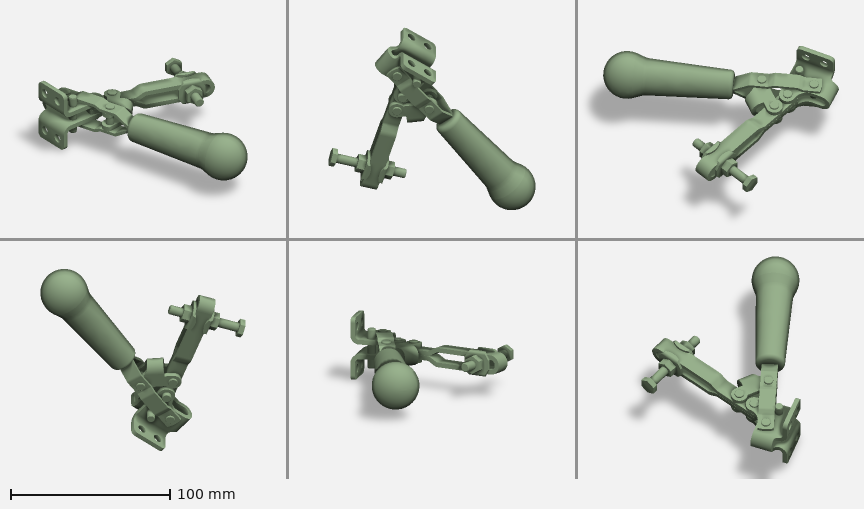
import cadquery as cq
import math


overall_length = 141.0
overall_depth = 105.2

sheet = 3.0
arm_gap = 0.07
fork_inner = 3.2
fork_outer = fork_inner + sheet

base_handle_pivot = (13.3, 16.6)
base_arm_pivot = (26.0, 29.0)
arm_link_pivot = (29.9, 40.5)
stop_pin_place = (25.2, 12.3)
handle_angle = 17.3
arm_angle = 70.7
link_handle_distance = 33.0

shank_radius = 2.5
head_radius = 3.0
head_height = 1.1
tall_head_height = 2.8
stop_pin_half_length = 12.7
stop_pin_radius = 5.2 / 2
stop_pin_taper = 0.8
pin_chamfer = 0.3

base_right = 31.3
base_top = 22.1
base_boss_radius = base_right - base_arm_pivot[0]
base_fillet = 8.7
foot_half_height = 20.0
foot_bend_radius = 2.7
foot_corner_radius = 3.1
foot_hole_radius = 2.8
foot_hole_height = 13.5
foot_hole_places = (12.5, 25.0)
bridge_bottom = 8.2
relief_radius = 3.1

strip_half_width = 10.3 / 2
strip_end_corner = -4.2
strip_end_crown = -5.1

arm_tip_rise = overall_depth - base_arm_pivot[1] - strip_half_width * math.cos(math.radians(arm_angle))
arm_tip = arm_tip_rise / math.sin(math.radians(arm_angle))
arm_jog_start = 27.0
arm_jog_end = 32.7
arm_bend_radius = 2.8

handle_sheet = 2.0
handle_raised = 8.0
handle_bend_radius = 0.8
handle_jogs = ((6.8, 10.2), (24.4, 28.5))
handle_taper_start = 39.8
handle_taper_end = 49.9
tang_end = 53.6

grip_start = 50.8
grip_front_radius = 18.5 / 2
grip_front_fillet = 2.7
grip_cone_end = 104.9
grip_cone_end_radius = 11.7
neck_end = 107.6
neck_end_radius = 24.4 / 2
ball_radius = 30.0 / 2
ball_reach = overall_length - ball_radius - base_handle_pivot[0]
ball_centre = ball_reach / math.cos(math.radians(handle_angle))
ball_start = 113.4

link_end_radius = 5.2
link_lower_edge = 2.8
tab_bend_line = 7.3
tab_left = 5.1
tab_right = 15.4
tab_foot = 17.5
tab_flare = (16.0, 9.9)
tab_tip = tab_bend_line + fork_outer

screw_station = 63.2
screw_radius = 3.0
hex_across_flats = 10.0
hex_diameter = hex_across_flats / math.cos(math.pi / 6)
head_outer = -28.8
screw_head_height = 3.4
screw_end = 20.2
screw_end_chamfer = 0.5
washer_thickness = 1.7
nut_height = 5.0
washer_outer = strip_half_width + washer_thickness
lip_half_width = fork_outer + washer_thickness
lip_half_length = 5.5
fold_half_length = 6.9
washer_half_length = 8.9
washer_tip_half_width = 3.1
lip_crown = 3.0


def along(place, angle, distance):
    """Point at a distance from a place in a direction given in degrees."""
    turn = math.radians(angle)
    return (place[0] + distance * math.cos(turn), place[1] + distance * math.sin(turn))


def place_on(body, pivot, angle):
    """Move a body from its own frame, with X along its length, onto its pivot."""
    return body.rotate((0, 0, 0), (0, 0, 1), angle).translate((pivot[0], pivot[1], 0))


def with_mirror(body):
    """Add the copy on the other side of Z = 0."""
    return body.union(body.mirror("XY"))


def slab(outline, half_height):
    """Extrude an XY outline equally to both sides of Z = 0."""
    return outline.extrude(half_height, both=True)


def disc(place, radius, low, high):
    """Cylinder along Z between two heights."""
    return cq.Workplane("XY").workplane(offset=low).center(*place).circle(radius).extrude(high - low)


def half_ring(centre, half_length, direction):
    """Half of a round sheet bend in the XZ plane, joining the two sides of a fork."""
    ring = cq.Workplane("XZ").center(centre, 0).circle(fork_outer).circle(fork_inner)
    ring = ring.extrude(half_length, both=True)
    half_space = cq.Workplane("XY").box(2 * fork_outer, 4 * half_length, 4 * fork_outer)
    return ring.intersect(half_space.translate((centre + direction * fork_outer, 0, 0)))


def bent_strip(inner_face, thickness, half_width, bend_radius):
    """Sheet strip whose inner face follows (x, z) points, with concentric rounded bends."""
    slopes = [
        math.atan2(end[1] - start[1], end[0] - start[0])
        for start, end in zip(inner_face, inner_face[1:])
    ]
    before = slopes[:1] + slopes
    after = slopes + slopes[-1:]
    outer_face = []
    for (x, z), slope_in, slope_out in zip(inner_face, before, after):
        middle = (slope_in + slope_out) / 2
        mitre = thickness / math.cos((slope_out - slope_in) / 2)
        outer_face.append((x - mitre * math.sin(middle), z + mitre * math.cos(middle)))

    strip = cq.Workplane("XZ").polyline(inner_face + outer_face[::-1]).close()
    strip = strip.extrude(half_width, both=True)
    for index in range(1, len(inner_face) - 1):
        turns_outward = after[index] > before[index]
        inner_radius = bend_radius + (thickness if turns_outward else 0)
        outer_radius = bend_radius + (0 if turns_outward else thickness)
        for (x, z), radius in ((inner_face[index], inner_radius), (outer_face[index], outer_radius)):
            edge = cq.selectors.NearestToPointSelector((x, 0, z))
            strip = strip.edges("|Y").edges(edge).fillet(radius)
    return strip


def strip_outline(far_end):
    """XY outline of a strip with a slightly rounded pivot end and a square far end."""
    return (
        cq.Workplane("XY")
        .moveTo(strip_end_corner, strip_half_width)
        .threePointArc((strip_end_crown, 0), (strip_end_corner, -strip_half_width))
        .lineTo(far_end, -strip_half_width)
        .lineTo(far_end, strip_half_width)
        .close()
    )


def make_base():
    """Forked base with a rounded front bridge and two bolted feet."""
    boss_x, boss_y = base_arm_pivot
    fillet_y = base_top + base_fillet
    reach = base_boss_radius + base_fillet
    fillet_x = boss_x - math.sqrt(reach**2 - (fillet_y - boss_y) ** 2)
    tangent_angle = math.degrees(math.atan2(boss_y - fillet_y, boss_x - fillet_x))
    fillet_centre = (fillet_x, fillet_y)
    fillet_middle = along(fillet_centre, (tangent_angle - 90) / 2, base_fillet)
    fillet_top = along(fillet_centre, tangent_angle, base_fillet)
    relief_middle = along(
        (fork_outer - relief_radius, bridge_bottom - relief_radius), 45, relief_radius
    )
    outline = (
        cq.Workplane("XY")
        .moveTo(0, bridge_bottom)
        .lineTo(fork_outer - relief_radius, bridge_bottom)
        .threePointArc(relief_middle, (fork_outer, bridge_bottom - relief_radius))
        .lineTo(fork_outer, 0)
        .lineTo(base_right, 0)
        .lineTo(base_right, boss_y)
        .threePointArc((boss_x, boss_y + base_boss_radius), fillet_top)
        .threePointArc(fillet_middle, (fillet_x, base_top))
        .lineTo(0, base_top)
        .close()
    )

    top = boss_y + base_boss_radius
    web_and_foot = (
        cq.Workplane("YZ")
        .moveTo(top, fork_inner)
        .lineTo(0, fork_inner)
        .lineTo(0, foot_half_height)
        .lineTo(sheet, foot_half_height)
        .lineTo(sheet, fork_outer)
        .lineTo(top, fork_outer)
        .close()
        .extrude(base_right - fork_outer)
        .translate((fork_outer, 0, 0))
    )
    middle_x = (base_right + fork_outer) / 2
    for corner, radius in (
        ((middle_x, 0, fork_inner), foot_bend_radius + sheet),
        ((middle_x, sheet, fork_outer), foot_bend_radius),
    ):
        edge = cq.selectors.NearestToPointSelector(corner)
        web_and_foot = web_and_foot.edges("|X").edges(edge).fillet(radius)
    web_and_foot = web_and_foot.faces(">Z").edges("|Y").fillet(foot_corner_radius)
    for x in foot_hole_places:
        hole = cq.Workplane("XZ").center(x, foot_hole_height).circle(foot_hole_radius)
        web_and_foot = web_and_foot.cut(hole.extrude(sheet, both=True))

    bridge = half_ring(fork_outer, top, -1)
    return with_mirror(web_and_foot).union(bridge).intersect(slab(outline, foot_half_height))


def make_arm():
    """Two plates closed at the pivots, spread by a jog and joined round the tip."""
    tip_centre = arm_tip - fork_outer
    inner_face = [
        (strip_end_crown, arm_gap),
        (arm_jog_start, arm_gap),
        (arm_jog_end, fork_inner),
        (tip_centre, fork_inner),
    ]
    plates = with_mirror(bent_strip(inner_face, sheet, strip_half_width, arm_bend_radius))
    plates = plates.intersect(slab(strip_outline(arm_tip), fork_outer))
    return plates.union(half_ring(tip_centre, strip_half_width, 1))


def make_washer():
    """Washer on the -Y side of the arm, with curved lips folded over both arm plates."""
    quarter = [
        (lip_half_length, lip_half_width),
        (fold_half_length, fork_outer),
        (washer_half_length, washer_tip_half_width),
    ]
    upper = [(-x, z) for x, z in quarter[::-1]] + quarter
    outline = upper + [(x, -z) for x, z in upper[::-1]]
    blank = cq.Workplane("XZ").polyline(outline).close().extrude(washer_outer, both=True)
    channel = (
        cq.Workplane("YZ")
        .moveTo(-lip_crown, lip_half_width)
        .lineTo(-strip_half_width, lip_half_width)
        .radiusArc((-washer_outer, fork_outer), -washer_thickness)
        .lineTo(-washer_outer, 0)
        .lineTo(-strip_half_width, 0)
        .lineTo(-strip_half_width, fork_outer)
        .lineTo(-lip_crown, fork_outer)
        .close()
        .extrude(washer_half_length, both=True)
    )
    curved_lips = (
        cq.Workplane("XY")
        .moveTo(-fold_half_length, -strip_half_width)
        .threePointArc((0, -lip_crown), (fold_half_length, -strip_half_width))
        .lineTo(washer_half_length, -strip_half_width)
        .lineTo(washer_half_length, -washer_outer)
        .lineTo(-washer_half_length, -washer_outer)
        .lineTo(-washer_half_length, -strip_half_width)
        .close()
    )
    washer = with_mirror(channel).intersect(blank).intersect(slab(curved_lips, lip_half_width))
    return washer.translate((screw_station, 0, 0))


def hexagon(start, height):
    """Hexagon prism on the screw axis with a corner toward +Z."""
    return (
        cq.Workplane("XZ", origin=(screw_station, -start, 0))
        .transformed(rotate=(0, 0, 90))
        .polygon(6, hex_diameter)
        .extrude(height)
    )


def make_screw():
    """Hexagon screw across the arm, clamped by two nuts and two lipped washers."""
    screw = (
        cq.Workplane("XZ", origin=(screw_station, -head_outer, 0))
        .circle(screw_radius)
        .extrude(screw_end - head_outer)
        .faces("<Y")
        .chamfer(screw_end_chamfer)
    )
    screw = screw.union(hexagon(head_outer, screw_head_height))
    for nut_start in (washer_outer, -washer_outer - nut_height):
        screw = screw.union(hexagon(nut_start, nut_height))
    washer = make_washer()
    return screw.union(washer).union(washer.mirror("XZ"))


def make_link():
    """Forked link with a rounded tab joining its two plates."""
    length = math.dist(arm_link_pivot, link_handle_pivot)
    neck = math.sqrt(link_end_radius**2 - link_lower_edge**2)
    outline = (
        cq.Workplane("XY")
        .moveTo(0, link_end_radius)
        .threePointArc((-link_end_radius, 0), (neck, -link_lower_edge))
        .lineTo(length - neck, -link_lower_edge)
        .threePointArc((length, -link_end_radius), (length + link_end_radius, 0))
        .lineTo(tab_foot, tab_bend_line)
        .threePointArc(tab_flare, (tab_right, tab_tip))
        .lineTo(tab_left, tab_tip)
        .lineTo(tab_left, link_end_radius)
        .close()
    )
    plate = (
        cq.Workplane("XY")
        .workplane(offset=fork_inner)
        .moveTo(-link_end_radius, -link_end_radius)
        .lineTo(length + link_end_radius, -link_end_radius)
        .lineTo(length + link_end_radius, tab_bend_line)
        .lineTo(-link_end_radius, tab_bend_line)
        .close()
        .extrude(sheet)
    )
    tab = half_ring(tab_bend_line, length, 1).rotate((0, 0, 0), (0, 0, 1), 90)
    tab = tab.translate((length, 0, 0))
    return with_mirror(plate).union(tab).intersect(slab(outline, fork_outer))


def make_handle():
    """Two jogged strips that meet in a tang inside the round grip."""
    (rise_start, rise_end), (fall_start, fall_end) = handle_jogs
    inner_face = [
        (strip_end_crown, fork_outer),
        (rise_start, fork_outer),
        (rise_end, handle_raised),
        (fall_start, handle_raised),
        (fall_end, fork_outer),
        (handle_taper_start, fork_outer),
        (handle_taper_end, 0),
        (tang_end, 0),
    ]
    strips = with_mirror(bent_strip(inner_face, handle_sheet, strip_half_width, handle_bend_radius))
    strips = strips.intersect(slab(strip_outline(tang_end), handle_raised + handle_sheet))

    ball_start_radius = math.sqrt(ball_radius**2 - (ball_centre - ball_start) ** 2)
    grip = (
        cq.Workplane("XY")
        .moveTo(grip_start, 0)
        .lineTo(grip_start, grip_front_radius)
        .lineTo(grip_cone_end, grip_cone_end_radius)
        .tangentArcPoint((neck_end, neck_end_radius), relative=False)
        .lineTo(ball_start, ball_start_radius)
        .threePointArc((ball_centre, ball_radius), (ball_centre + ball_radius, 0))
        .close()
        .revolve(360, (0, 0, 0), (1, 0, 0))
        .edges("<X")
        .fillet(grip_front_fillet)
    )
    return strips.union(grip)


def make_rivet(place, seat, top_head=head_height, bottom_head=head_height):
    """Rivet with heads resting on plate faces at Z = seat and Z = -seat."""
    shank = disc(place, shank_radius, -seat, seat)
    top = disc(place, head_radius, seat, seat + top_head).faces(">Z").chamfer(pin_chamfer)
    bottom = disc(place, head_radius, -seat - bottom_head, -seat).faces("<Z").chamfer(pin_chamfer)
    return shank.union(top).union(bottom)


link_handle_pivot = along(base_handle_pivot, handle_angle, link_handle_distance)
link_angle = math.degrees(
    math.atan2(link_handle_pivot[1] - arm_link_pivot[1], link_handle_pivot[0] - arm_link_pivot[0])
)
handle_seat = fork_outer + handle_sheet
stop_pin = disc(stop_pin_place, stop_pin_radius, -stop_pin_half_length, stop_pin_half_length)

members = (
    place_on(make_arm().union(make_screw()), base_arm_pivot, arm_angle),
    place_on(make_link(), arm_link_pivot, link_angle),
    place_on(make_handle(), base_handle_pivot, handle_angle),
    make_rivet(base_handle_pivot, handle_seat),
    make_rivet(base_arm_pivot, fork_outer, bottom_head=tall_head_height),
    make_rivet(arm_link_pivot, fork_outer),
    make_rivet(link_handle_pivot, handle_seat),
    stop_pin.faces("<Z or >Z").chamfer(stop_pin_taper, pin_chamfer),
)
result = make_base()
for member in members:
    result = result.union(member)